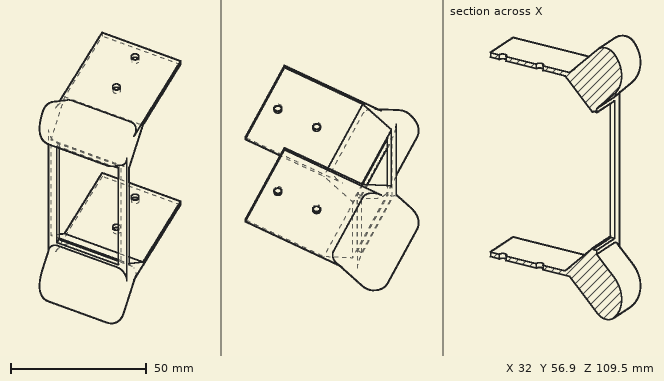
import cadquery as cq
import math

width = 32.0
depth = 56.9
height = 109.5

sheet = 2.0
gusset_leg = 11.8
window_width = 25.0
window_height = 55.4
hole_diameter = 2.8
hole_from_back = 5.4
hole_spacing = 16.0

pad_length = 25.0
nose_radius = 5.0
side_fillet = 4.0

pad_thickness = gusset_leg * math.sqrt(2)
belly_radius = pad_thickness - nose_radius
pad_reach = pad_length / math.sqrt(2)
corner_loss = math.sqrt(2) - 1

pad_front = pad_reach - sheet - corner_loss * belly_radius
plate_back = depth - pad_front
plate_bottom = height / 2 - pad_reach + corner_loss * nose_radius
plate_top = plate_bottom + sheet
gusset_back = sheet + gusset_leg
gusset_bottom = plate_bottom - gusset_leg


def extrude_across(profile):
    """Extrude a closed (Y, Z) profile over the full width, centred on X = 0."""
    return profile.close().extrude(width / 2, both=True)


def make_plate():
    plate = cq.Workplane("XY").box(width, plate_back - sheet, sheet, centered=(True, False, False))
    plate = plate.translate((0, sheet, plate_bottom))
    first_hole = plate_back - hole_from_back
    holes = (
        cq.Workplane("XY", origin=(0, 0, plate_bottom))
        .pushPoints([(0, first_hole), (0, first_hole - hole_spacing)])
        .circle(hole_diameter / 2)
        .extrude(sheet)
    )
    return plate.cut(holes)


def make_gusset():
    profile = (
        cq.Workplane("YZ")
        .moveTo(gusset_back, plate_bottom)
        .lineTo(sheet, plate_bottom)
        .lineTo(sheet, gusset_bottom)
    )
    return extrude_across(profile)


def make_pad():
    """Block with a small nose arc and a large belly arc meeting at its outer end."""

    def pad_point(along, across):
        y = gusset_back - (along + across) / math.sqrt(2)
        z = plate_bottom + (along - across) / math.sqrt(2)
        return y, z

    def arc_middle(radius, across_center, across_sign):
        reach = radius / math.sqrt(2)
        return pad_point(pad_length - radius + reach, across_center + across_sign * reach)

    profile = (
        cq.Workplane("YZ")
        .moveTo(*pad_point(0, 0))
        .lineTo(*pad_point(pad_length - nose_radius, 0))
        .threePointArc(arc_middle(nose_radius, nose_radius, -1), pad_point(pad_length, nose_radius))
        .threePointArc(
            arc_middle(belly_radius, nose_radius, 1),
            pad_point(pad_length - belly_radius, pad_thickness),
        )
        .lineTo(*pad_point(0, pad_thickness))
    )
    pad = extrude_across(profile)
    side_edges = pad.faces("<X or >X").edges("not |(0,1,1)")
    return side_edges.fillet(side_fillet)


def make_wall():
    wall = cq.Workplane("XY").box(width, sheet, 2 * plate_top, centered=(True, False, True))
    window = cq.Workplane("XY").box(window_width, sheet, window_height, centered=(True, False, True))
    return wall.cut(window)


upper_corner = make_plate().union(make_gusset()).union(make_pad())
lower_corner = upper_corner.mirror("XY")
result = make_wall().union(upper_corner).union(lower_corner)